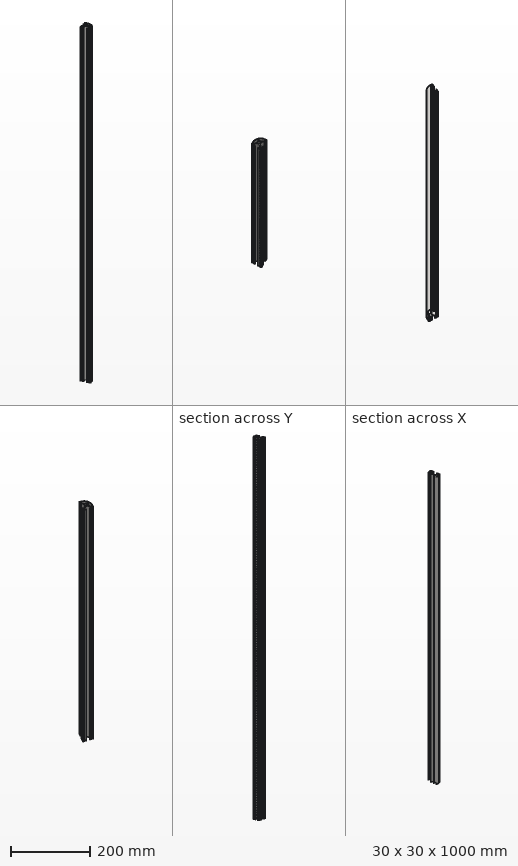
import cadquery as cq
import math


side = 30.0
length = 1000.0
half = side / 2
rounding_radius = 23.9
corner_radius = 1.95

slot_opening = 8.3
slot_depth = 9.8
undercut_width = 15.4
undercut_wall_height = 2.9
lip_thickness = 2.1
slot_floor_width = 5.8
slot_floor_fillet = 2.25

wall_thickness = 1.75
chamber_width = 17.9

bore_diameter = 7.3
hollow_side = 3.0
hollow_wall = 1.5

floor_distance = half - slot_depth
undercut_distance = half - lip_thickness
taper_distance = undercut_distance - undercut_wall_height


def symmetric_prism(right_side):
    """Full-length prism whose outline is mirrored about the Y axis."""
    left_side = [(-x, y) for x, y in reversed(right_side)]
    return cq.Workplane("XY").polyline(right_side + left_side).close().extrude(length)


def rounded_prism(inset):
    """Square prism with one large rounded corner; inset pulls in the +X and +Y sides."""
    far = half - inset
    centre = half - rounding_radius
    arc_middle = centre + (rounding_radius - inset) * math.sqrt(0.5)
    return (
        cq.Workplane("XY")
        .moveTo(-half, -half)
        .lineTo(far, -half)
        .lineTo(far, centre)
        .threePointArc((arc_middle, arc_middle), (centre, far))
        .lineTo(-half, far)
        .close()
        .extrude(length)
    )


def make_body():
    body = rounded_prism(0)
    for corner in ("<X and <Y", ">X and <Y", "<X and >Y"):
        body = body.edges("|Z").edges(corner).fillet(corner_radius)
    return body


def make_slot():
    """Cutter for the T-slot that opens on the -Y face."""
    slot = symmetric_prism(
        [
            (slot_opening / 2, -half),
            (slot_opening / 2, -undercut_distance),
            (undercut_width / 2, -undercut_distance),
            (undercut_width / 2, -taper_distance),
            (slot_floor_width / 2, -floor_distance),
        ]
    )
    return slot.edges("|Z and >Y").fillet(slot_floor_fillet)


def make_chamber():
    """Cutter for the closed chamber on the +Y side, bounded outside by the rounded wall."""
    envelope = symmetric_prism(
        [
            (slot_floor_width / 2, floor_distance),
            (chamber_width / 2, taper_distance),
            (chamber_width / 2, half),
        ]
    )
    return envelope.intersect(rounded_prism(wall_thickness))


def mirror_across_diagonal(cutter):
    """Swap X and Y, carrying a cutter to the matching side of the section."""
    return cutter.mirror(cq.Vector(1, -1, 0))


def make_corner_hollows():
    offset = half - hollow_wall - hollow_side / 2
    centres = [(-offset, -offset), (offset, -offset), (-offset, offset)]
    return cq.Workplane("XY").pushPoints(centres).rect(hollow_side, hollow_side).extrude(length)


def make_bore():
    return cq.Workplane("XY").circle(bore_diameter / 2).extrude(length)


result = make_body()
for cutter in (make_slot(), make_chamber()):
    result = result.cut(cutter).cut(mirror_across_diagonal(cutter))
result = result.cut(make_corner_hollows()).cut(make_bore())